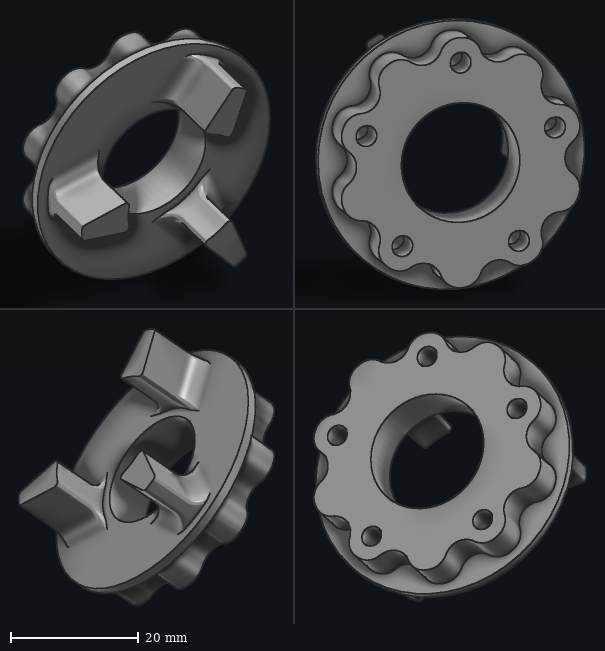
import cadquery as cq
import math

HUB_THICKNESS = 6.4
FLANGE_THICKNESS = 1.6
LEG_LENGTH = 10.15
FLANGE_RADIUS = 21.5
BORE_RADIUS = 9.55

LOBE_COUNT = 10
HUB_RADIUS = 20.0
NOTCH_RADIUS = 3.2
LOBE_CORNER_RADIUS = NOTCH_RADIUS

HOLE_COUNT = 5
HOLE_RADIUS = 1.655
HOLE_CIRCLE_RADIUS = 16.0
HOLE_DEPTH = 6.0
DRILL_POINT_ANGLE = 118.0

LEG_COUNT = 3
LEG_INNER_RADIUS = 11.05
LEG_OUTER_RADIUS = 19.6
LEG_INNER_HALF_WIDTH = 2.92
LEG_OUTER_HALF_WIDTH = 1.4
LEG_ROOT_RADIUS = 3.0
LEG_EDGE_RADIUS = 0.75

FLANGE_FACE = HUB_THICKNESS + FLANGE_THICKNESS


def disc(radius, start, thickness):
    """Disc around the X axis, from x = start."""
    return cq.Workplane("YZ", origin=(start, 0, 0)).circle(radius).extrude(thickness)


def make_hub():
    """Lobed disc with one lobe pointing along +Z."""
    pitch = 360 / LOBE_COUNT
    notches = (
        cq.Workplane("YZ")
        .polarArray(HUB_RADIUS, 90 + pitch / 2, 360, LOBE_COUNT)
        .circle(NOTCH_RADIUS)
        .extrude(HUB_THICKNESS)
    )
    lobed = disc(HUB_RADIUS, 0, HUB_THICKNESS).cut(notches)
    return lobed.edges("|X").fillet(LOBE_CORNER_RADIUS)


def make_holes():
    """Drilled blind holes opening on the hub face, one of them toward +Z."""
    tip_depth = HOLE_RADIUS / math.tan(math.radians(DRILL_POINT_ANGLE / 2))
    profile = [(0, 0), (0, HOLE_RADIUS), (HOLE_DEPTH, HOLE_RADIUS), (HOLE_DEPTH + tip_depth, 0)]
    hole = cq.Workplane("XY").polyline(profile).close().revolve(360, (0, 0, 0), (1, 0, 0))
    hole = hole.translate((0, 0, HOLE_CIRCLE_RADIUS))
    holes = cq.Workplane("XY")
    for index in range(HOLE_COUNT):
        holes = holes.add(hole.rotate((0, 0, 0), (1, 0, 0), index * 360 / HOLE_COUNT))
    return holes.combine()


def leg_half_width(radius):
    """Half width of the tapered leg at a distance from the X axis."""
    taper = (LEG_INNER_HALF_WIDTH - LEG_OUTER_HALF_WIDTH) / (LEG_OUTER_RADIUS - LEG_INNER_RADIUS)
    return LEG_OUTER_HALF_WIDTH + taper * (LEG_OUTER_RADIUS - radius)


def make_leg():
    """Leg pointing along -Y on a foot that lies inside the flange."""
    half_width_at_axis = leg_half_width(0)
    half_width_at_rim = leg_half_width(FLANGE_RADIUS)
    foot_half_width = half_width_at_axis + 2 * LEG_ROOT_RADIUS
    foot = (
        cq.Workplane("YZ", origin=(HUB_THICKNESS, 0, 0))
        .center(-FLANGE_RADIUS / 2, 0)
        .rect(FLANGE_RADIUS, 2 * foot_half_width)
        .extrude(FLANGE_THICKNESS)
    )
    wedge_outline = [
        (0, half_width_at_axis),
        (-FLANGE_RADIUS, half_width_at_rim),
        (-FLANGE_RADIUS, -half_width_at_rim),
        (0, -half_width_at_axis),
    ]
    wedge = cq.Workplane("YZ", origin=(HUB_THICKNESS, 0, 0)).polyline(wedge_outline).close()
    leg = foot.union(wedge.extrude(FLANGE_THICKNESS + LEG_LENGTH))

    root_zone = cq.selectors.BoxSelector(
        (HUB_THICKNESS + FLANGE_THICKNESS / 2, -FLANGE_RADIUS, -half_width_at_axis),
        (FLANGE_FACE + FLANGE_THICKNESS / 2, 0, half_width_at_axis),
    )
    leg = leg.edges(root_zone).fillet(LEG_ROOT_RADIUS)

    height = FLANGE_THICKNESS + LEG_LENGTH
    outer_disc = disc(LEG_OUTER_RADIUS, HUB_THICKNESS, height)
    inner_disc = disc(LEG_INNER_RADIUS, HUB_THICKNESS, height)
    leg = leg.intersect(outer_disc.cut(inner_disc))

    upright_zone = cq.selectors.BoxSelector(
        (FLANGE_FACE + LEG_ROOT_RADIUS, -FLANGE_RADIUS, -half_width_at_axis),
        (FLANGE_FACE + LEG_LENGTH, 0, half_width_at_axis),
    )
    return leg.edges(upright_zone).edges("|X").fillet(LEG_EDGE_RADIUS)


body = make_hub().union(disc(FLANGE_RADIUS, HUB_THICKNESS, FLANGE_THICKNESS))
leg = make_leg()
for index in range(LEG_COUNT):
    body = body.union(leg.rotate((0, 0, 0), (1, 0, 0), index * 360 / LEG_COUNT))

result = body.cut(disc(BORE_RADIUS, 0, FLANGE_FACE)).cut(make_holes())